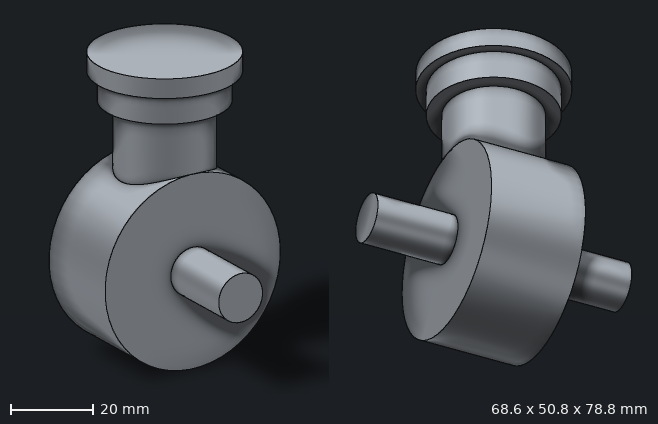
import cadquery as cq

total_height = 78.75
shaft_length = 68.6

disc_diameter = 50.8
disc_width = disc_diameter / 2
shaft_diameter = disc_diameter / 4
neck_diameter = 25.35
collar_diameter = 33.0
cap_diameter = 38.1

cap_thickness = 5.1
collar_thickness = 7.6
cap_top = total_height - disc_diameter / 2
cap_bottom = cap_top - cap_thickness
collar_bottom = cap_bottom - collar_thickness


def cylinder_along_x(diameter, length):
    """Cylinder on the X axis, centred on the origin."""
    return cq.Workplane("YZ").workplane(offset=-length / 2).circle(diameter / 2).extrude(length)


def cylinder_along_z(diameter, bottom, top):
    """Upright cylinder on the Z axis."""
    return cq.Workplane("XY").workplane(offset=bottom).circle(diameter / 2).extrude(top - bottom)


disc = cylinder_along_x(disc_diameter, disc_width)
shaft = cylinder_along_x(shaft_diameter, shaft_length)

neck = cylinder_along_z(neck_diameter, 0, collar_bottom)
collar = cylinder_along_z(collar_diameter, collar_bottom, cap_bottom)
cap = cylinder_along_z(cap_diameter, cap_bottom, cap_top)

result = disc.union(neck).union(collar).union(cap).union(shaft)